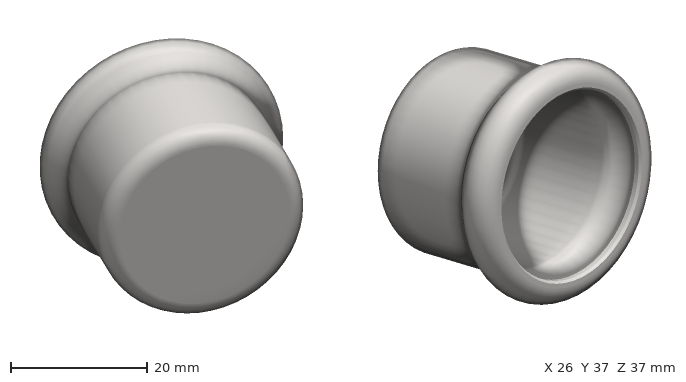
import cadquery as cq
import math

length = 26.0
rim_radius = 18.5
body_radius = 31.3 / 2
bore_radius = 28.3 / 2
bead_radius = 3.0
lip_radius = 28.8 / 2
lip_chamfer = 0.35
cone_angle = math.radians(41)
end_fillet = 2.5
throat_fillet = 2.3

wall = body_radius - bore_radius
floor_x = length - wall
inner_end_fillet = end_fillet - wall
bead_center_x = bead_radius
bead_center_r = rim_radius - bead_radius
bead_inner_radius = bead_radius - wall


def around(center_x, center_r, radius, angle):
    """Point on a profile arc; the angle runs from outward radial toward +X."""
    return (center_x + radius * math.sin(angle), center_r + radius * math.cos(angle))


def on_bead(radius, angle):
    return around(bead_center_x, bead_center_r, radius, angle)


def cone_x_at(start, radius):
    """X where the cone leaving the given point comes down to a radius."""
    return start[0] + (start[1] - radius) / math.tan(cone_angle)


quarter = math.pi / 2
arc_middle = (cone_angle - quarter) / 2

outer_cone_start = on_bead(bead_radius, cone_angle)
outer_cone_end = (cone_x_at(outer_cone_start, body_radius), body_radius)
inner_cone_start = on_bead(bead_inner_radius, cone_angle)

throat_center_r = bore_radius + throat_fillet
throat_center_x = (
    cone_x_at(inner_cone_start, bore_radius) + throat_fillet * math.tan(cone_angle / 2)
)


def on_throat(angle):
    return around(throat_center_x, throat_center_r, throat_fillet, math.pi + angle)


def on_end(radius, angle):
    """Point on the concentric roundings of the closed end."""
    return around(length - end_fillet, body_radius - end_fillet, radius, angle)


profile = (
    cq.Workplane("XY")
    .moveTo(0, lip_radius + lip_chamfer)
    .lineTo(*on_bead(bead_radius, -quarter))
    .threePointArc(on_bead(bead_radius, arc_middle), outer_cone_start)
    .lineTo(*outer_cone_end)
    .lineTo(*on_end(end_fillet, 0))
    .threePointArc(on_end(end_fillet, quarter / 2), on_end(end_fillet, quarter))
    .lineTo(length, 0)
    .lineTo(floor_x, 0)
    .lineTo(*on_end(inner_end_fillet, quarter))
    .threePointArc(on_end(inner_end_fillet, quarter / 2), on_end(inner_end_fillet, 0))
    .lineTo(*on_throat(0))
    .threePointArc(on_throat(cone_angle / 2), on_throat(cone_angle))
    .lineTo(*inner_cone_start)
    .threePointArc(on_bead(bead_inner_radius, arc_middle), on_bead(bead_inner_radius, -quarter))
    .lineTo(wall, lip_radius + lip_chamfer)
    .lineTo(wall - lip_chamfer, lip_radius)
    .lineTo(lip_chamfer, lip_radius)
    .close()
)

result = profile.revolve(360, (0, 0, 0), (1, 0, 0))